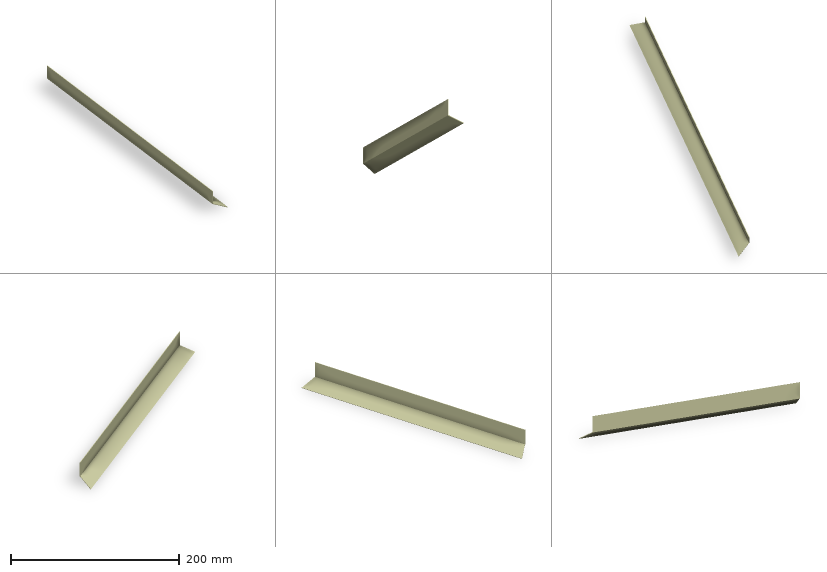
import cadquery as cq
import math

overall_length = 320.0
upright_length = 305.3
overall_depth = 17.5
overall_height = 29.8
sheet_thickness = 0.8
slope_angle = math.radians(30)

slope_run = overall_depth - sheet_thickness * math.sin(slope_angle)
outer_length = slope_run / math.cos(slope_angle)
slope_drop = outer_length * math.sin(slope_angle)


def along_slope(distance, offset):
    """Point at a distance down the slope, offset square to it towards the upper face."""
    y = distance * math.cos(slope_angle) + offset * math.sin(slope_angle)
    z = -distance * math.sin(slope_angle) + offset * math.cos(slope_angle)
    return (y, z)


upright_top = overall_height - slope_drop
bend_half_angle = (math.pi / 2 - slope_angle) / 2
inner_corner = along_slope(sheet_thickness * math.tan(bend_half_angle), sheet_thickness)

profile = [
    (0, 0),
    along_slope(outer_length, 0),
    along_slope(outer_length, sheet_thickness),
    inner_corner,
    (sheet_thickness, upright_top),
    (0, upright_top),
]
angle_strip = (
    cq.Workplane("YZ")
    .polyline(profile)
    .close()
    .extrude(overall_length / 2, both=True)
)

half_upright = upright_length / 2
half_overall = overall_length / 2
flare_start = sheet_thickness
plan_outline = [
    (-half_upright, 0),
    (half_upright, 0),
    (half_upright, flare_start),
    (half_overall, overall_depth),
    (-half_overall, overall_depth),
    (-half_upright, flare_start),
]
plan_block = (
    cq.Workplane("XY")
    .workplane(offset=-slope_drop)
    .polyline(plan_outline)
    .close()
    .extrude(overall_height)
)

result = angle_strip.intersect(plan_block)